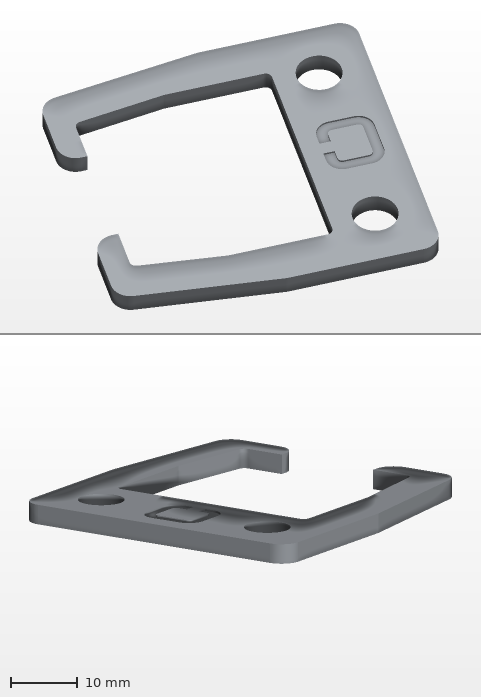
import cadquery as cq
import math

width = 48
length = 50
thickness = 3
half_width = width / 2
half_length = length / 2

outer_taper_y = 0.7
outer_foot_x = 20.8
outer_radius = 3

opening_half_width = 17.1
opening_top_y = 10
inner_taper_y = -6.5
inner_foot_x = 15.2
inner_radius = 1
hook_gap = 16.5
hook_depth = 4
hook_top_y = hook_depth - half_length
hook_tip_x = hook_gap / 2

hole_diameter = 7
hole_spacing = 30
hole_y = 17

groove_width = 10
groove_length = 9
groove_band = 1.75
groove_gap = 2.1
groove_outer_radius = 2.5
groove_inner_radius = 0.75
groove_depth = 0.3
groove_y = 17.5

match_tolerance = 0.005


def make_frame():
    """Plate with two tapered legs, each ending in an inward hook."""
    right_side = [
        (half_width, half_length),
        (half_width, outer_taper_y),
        (outer_foot_x, -half_length),
        (hook_tip_x, -half_length),
        (hook_tip_x, hook_top_y),
        (inner_foot_x, hook_top_y),
        (opening_half_width, inner_taper_y),
        (opening_half_width, opening_top_y),
    ]
    left_side = [(-x, y) for x, y in reversed(right_side)]
    return cq.Workplane("XY").polyline(right_side + left_side).close().extrude(thickness)


def round_corners(frame, corners, radius):
    """Round the vertical edges at the given corners and their mirror images."""
    places = [(side * x, y) for x, y in corners for side in (-1, 1)]
    edges = [
        edge
        for edge in frame.edges("|Z").vals()
        if any(math.dist((edge.Center().x, edge.Center().y), place) < match_tolerance for place in places)
    ]
    return frame.newObject(edges).fillet(radius)


def rounded_block(block_width, block_length, radius):
    """Rounded rectangle centred on the groove, standing on the groove floor."""
    return (
        cq.Workplane("XY", origin=(0, groove_y, thickness - groove_depth))
        .rect(block_width, block_length)
        .extrude(groove_depth)
        .edges("|Z")
        .fillet(radius)
    )


def make_groove():
    """Shallow rounded ring with a gap in the middle of its lower side."""
    outer = rounded_block(groove_width, groove_length, groove_outer_radius)
    island = rounded_block(
        groove_width - 2 * groove_band, groove_length - 2 * groove_band, groove_inner_radius
    )
    gap = (
        cq.Workplane("XY", origin=(0, groove_y, thickness - groove_depth))
        .rect(groove_gap, groove_length)
        .extrude(groove_depth)
        .translate((0, -groove_length / 2, 0))
    )
    return outer.cut(island).cut(gap)


outer_corners = [
    (half_width, half_length),
    (half_width, outer_taper_y),
    (outer_foot_x, -half_length),
    (hook_tip_x, -half_length),
]
inner_corners = [(inner_foot_x, hook_top_y), (opening_half_width, opening_top_y)]

frame = make_frame()
frame = round_corners(frame, outer_corners, outer_radius)
frame = round_corners(frame, inner_corners, inner_radius)

frame = frame.cut(make_groove())

result = (
    frame.faces(">Z")
    .workplane(origin=(0, 0, thickness))
    .pushPoints([(-hole_spacing / 2, hole_y), (hole_spacing / 2, hole_y)])
    .hole(hole_diameter)
)